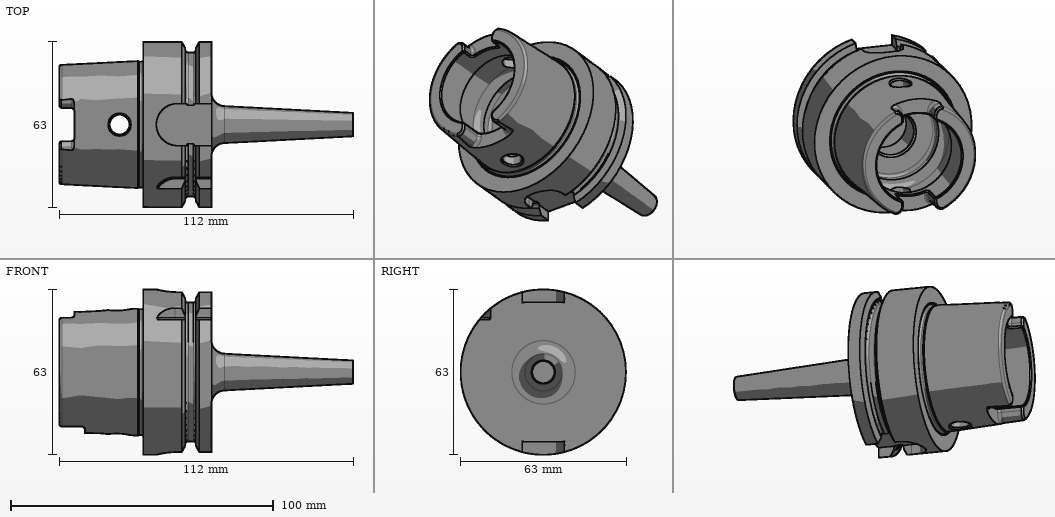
import cadquery as cq
import math


SHANK_LENGTH = 32.0
FLANGE_WIDTH = 26.0
TIP_X = 80.0
SHANK_END_X = -SHANK_LENGTH

GAUGE_RADIUS = 24.0
GAUGE_X = -6.3
TAPER_SLOPE = 1 / 20
SHANK_END_ROUND = 1.0

RELIEF_START_X = -2.1
RELIEF_FLOOR_START_X = -1.5
RELIEF_FLOOR_RADIUS = 24.0
RELIEF_ROUND = 0.8
RELIEF_FACE_DEPTH = 0.2
RELIEF_OUTER_RADIUS = 25.4

BORE_RADIUS = 17.0
BORE_LIP_LENGTH = 12.7
MOUTH_CHAMFER = 0.5
UNDERCUT_RADIUS = 20.0
CLAMP_BEVEL_ANGLE = 60.0
UNDERCUT_ROUND_START = 25.2
BORE_DEPTH = 32.0
FLOOR_ROUND = 1.2
TUBE_BORE_RADIUS = 8.5
TUBE_BORE_DEPTH = 10.0
TUBE_BORE_CHAMFER = 0.75

SLOT_HALF_WIDTH = 6.27
SLOT_TOP_DEPTH = 5.8
SLOT_BOTTOM_DEPTH = 9.8
SLOT_FLOOR_ROUND = 1.2
SLOT_LEDGE_HEIGHT = 20.75
SLOT_SHOULDER_ROUND = 3.1
SLOT_MOUTH_CHAMFER = 0.75

CROSS_HOLE_RADIUS = 3.75
CROSS_HOLE_FROM_END = 23.0
CROSS_HOLE_CHAMFER = 0.6

FLANGE_RADIUS = 31.5
GROOVE_X = 18.0
GROOVE_FLOOR_RADIUS = 27.5
GROOVE_FLOOR_HALF_WIDTH = 1.95
GROOVE_RIM_HALF_WIDTH = 3.35
GROOVE_FLANK_ANGLE = 60.0
GROOVE_FLOOR_ROUND = 1.0

KEYWAY_START_X = 5.0
KEYWAY_HALF_WIDTH = 8.0
KEYWAY_FLOOR_HEIGHT = 26.5
NOTCH_START_X = 4.0
NOTCH_OFFSET = 20.0
NOTCH_END_ROUND = 8.0
NOTCH_CORNER_CHAMFER = 0.6

TIP_RADIUS = 4.5
TIP_CHAMFER = 0.3
NOSE_HALF_ANGLE = math.radians(3.0)
NOSE_ROOT_ROUND = 5.0

CLEAR = 10.0
TOLERANCE = 0.01
RIM_REACH = 1.0


def shank_radius(x):
    return GAUGE_RADIUS + (x - GAUGE_X) * TAPER_SLOPE


def nose_radius(x):
    return TIP_RADIUS + (TIP_X - x) * math.tan(NOSE_HALF_ANGLE)


def revolve_about_axis(profile):
    """Close a half profile and turn it into a solid of revolution about X."""
    return profile.close().revolve(360, (0, 0, 0), (1, 0, 0))


def make_shank_and_flange():
    """Tapered shank and plain flange, with the relief groove sunk slightly into the flange face."""
    relief_arc_x = RELIEF_FACE_DEPTH - RELIEF_ROUND
    relief_arc_radius = RELIEF_FLOOR_RADIUS + RELIEF_ROUND
    diagonal = RELIEF_ROUND * math.sqrt(0.5)
    profile = (
        cq.Workplane("XY")
        .moveTo(SHANK_END_X, 0)
        .lineTo(SHANK_END_X, shank_radius(SHANK_END_X))
        .lineTo(RELIEF_START_X, shank_radius(RELIEF_START_X))
        .lineTo(RELIEF_FLOOR_START_X, RELIEF_FLOOR_RADIUS)
        .lineTo(relief_arc_x, RELIEF_FLOOR_RADIUS)
        .threePointArc(
            (relief_arc_x + diagonal, relief_arc_radius - diagonal),
            (RELIEF_FACE_DEPTH, relief_arc_radius),
        )
        .lineTo(0, RELIEF_OUTER_RADIUS)
        .lineTo(0, FLANGE_RADIUS)
        .lineTo(FLANGE_WIDTH, FLANGE_RADIUS)
        .lineTo(FLANGE_WIDTH, 0)
    )
    shank = revolve_about_axis(profile)
    return shank.faces("<X").edges().fillet(SHANK_END_ROUND)


def make_nose():
    """Tapered nose, blended into the flange by a fillet tangent to both."""
    center_x = FLANGE_WIDTH + NOSE_ROOT_ROUND
    blend_end_x = center_x - NOSE_ROOT_ROUND * math.sin(NOSE_HALF_ANGLE)
    blend_end_radius = nose_radius(blend_end_x)
    center_radius = blend_end_radius + NOSE_ROOT_ROUND * math.cos(NOSE_HALF_ANGLE)
    diagonal = NOSE_ROOT_ROUND * math.sqrt(0.5)
    profile = (
        cq.Workplane("XY")
        .moveTo(FLANGE_WIDTH, 0)
        .lineTo(FLANGE_WIDTH, center_radius)
        .threePointArc(
            (center_x - diagonal, center_radius - diagonal),
            (blend_end_x, blend_end_radius),
        )
        .lineTo(TIP_X, TIP_RADIUS)
        .lineTo(TIP_X, 0)
    )
    return revolve_about_axis(profile).faces(">X").chamfer(TIP_CHAMFER)


def make_gripper_groove():
    """Ring that cuts a V groove with a straight-sided, rounded trough at its bottom."""
    flank_width = GROOVE_RIM_HALF_WIDTH - GROOVE_FLOOR_HALF_WIDTH
    flank_rise = flank_width * math.tan(math.radians(GROOVE_FLANK_ANGLE))
    trough_rim_radius = FLANGE_RADIUS - flank_rise
    round_radius = GROOVE_FLOOR_RADIUS + GROOVE_FLOOR_ROUND
    floor_half_flat = GROOVE_FLOOR_HALF_WIDTH - GROOVE_FLOOR_ROUND
    profile = (
        cq.Workplane("XY")
        .moveTo(GROOVE_X - GROOVE_RIM_HALF_WIDTH, FLANGE_RADIUS)
        .lineTo(GROOVE_X - GROOVE_FLOOR_HALF_WIDTH, trough_rim_radius)
        .lineTo(GROOVE_X - GROOVE_FLOOR_HALF_WIDTH, round_radius)
        .radiusArc((GROOVE_X - floor_half_flat, GROOVE_FLOOR_RADIUS), -GROOVE_FLOOR_ROUND)
        .lineTo(GROOVE_X + floor_half_flat, GROOVE_FLOOR_RADIUS)
        .radiusArc((GROOVE_X + GROOVE_FLOOR_HALF_WIDTH, round_radius), -GROOVE_FLOOR_ROUND)
        .lineTo(GROOVE_X + GROOVE_FLOOR_HALF_WIDTH, trough_rim_radius)
        .lineTo(GROOVE_X + GROOVE_RIM_HALF_WIDTH, FLANGE_RADIUS)
        .lineTo(GROOVE_X + GROOVE_RIM_HALF_WIDTH, FLANGE_RADIUS + CLEAR)
        .lineTo(GROOVE_X - GROOVE_RIM_HALF_WIDTH, FLANGE_RADIUS + CLEAR)
    )
    return revolve_about_axis(profile)


def make_bore():
    """Hollow of the shank: lip, clamping bevel, undercut, rounded floor and coolant tube bore."""
    lip_end_x = SHANK_END_X + BORE_LIP_LENGTH
    bevel_length = (UNDERCUT_RADIUS - BORE_RADIUS) / math.tan(math.radians(CLAMP_BEVEL_ANGLE))
    round_start_x = SHANK_END_X + UNDERCUT_ROUND_START
    undercut_round = UNDERCUT_RADIUS - BORE_RADIUS
    floor_x = SHANK_END_X + BORE_DEPTH
    tube_mouth_radius = TUBE_BORE_RADIUS + TUBE_BORE_CHAMFER
    profile = (
        cq.Workplane("XY")
        .moveTo(SHANK_END_X, 0)
        .lineTo(SHANK_END_X, BORE_RADIUS)
        .lineTo(lip_end_x, BORE_RADIUS)
        .lineTo(lip_end_x + bevel_length, UNDERCUT_RADIUS)
        .lineTo(round_start_x, UNDERCUT_RADIUS)
        .radiusArc((round_start_x + undercut_round, BORE_RADIUS), undercut_round)
        .lineTo(floor_x - FLOOR_ROUND, BORE_RADIUS)
        .radiusArc((floor_x, BORE_RADIUS - FLOOR_ROUND), FLOOR_ROUND)
        .lineTo(floor_x, tube_mouth_radius)
        .lineTo(floor_x + TUBE_BORE_CHAMFER, TUBE_BORE_RADIUS)
        .lineTo(floor_x + TUBE_BORE_DEPTH, TUBE_BORE_RADIUS)
        .lineTo(floor_x + TUBE_BORE_DEPTH, 0)
    )
    return revolve_about_axis(profile)


def slot_outline(growth):
    """Outline of the +Z drive slot in the end plane of the shank, grown outward all round its walls."""
    half_width = SLOT_HALF_WIDTH + growth
    ledge_z = SLOT_LEDGE_HEIGHT - growth
    round_radius = SLOT_SHOULDER_ROUND - growth
    ledge_y = half_width + round_radius
    side_y = ledge_y + CLEAR
    top_z = SLOT_LEDGE_HEIGHT + CLEAR
    return (
        cq.Workplane("YZ", origin=(SHANK_END_X, 0, 0))
        .moveTo(-half_width, 0)
        .lineTo(half_width, 0)
        .lineTo(half_width, ledge_z - round_radius)
        .radiusArc((ledge_y, ledge_z), round_radius)
        .lineTo(side_y, ledge_z)
        .lineTo(side_y, top_z)
        .lineTo(-side_y, top_z)
        .lineTo(-side_y, ledge_z)
        .lineTo(-ledge_y, ledge_z)
        .radiusArc((-half_width, ledge_z - round_radius), round_radius)
        .close()
    )


def make_drive_slot(depth):
    """Cutter for the +Z slot: walls flaring over rounded shoulders, rounded floor, bevelled mouth."""
    floor_x = SHANK_END_X + depth
    wall_zone = cq.selectors.BoxSelector(
        (floor_x - TOLERANCE, -GAUGE_RADIUS, TOLERANCE),
        (floor_x + TOLERANCE, GAUGE_RADIUS, SLOT_LEDGE_HEIGHT + TOLERANCE),
    )
    slot = slot_outline(0).extrude(depth).edges(wall_zone).fillet(SLOT_FLOOR_ROUND)
    bevel = slot_outline(SLOT_MOUTH_CHAMFER).extrude(SLOT_MOUTH_CHAMFER, taper=45)
    return slot.union(bevel)


def make_keyway():
    """Cutter for the +Z keyway, round at its inner end and open to the front of the flange."""
    end_center_x = KEYWAY_START_X + KEYWAY_HALF_WIDTH
    return (
        cq.Workplane("XY", origin=(0, 0, KEYWAY_FLOOR_HEIGHT))
        .moveTo(end_center_x, -KEYWAY_HALF_WIDTH)
        .lineTo(FLANGE_WIDTH, -KEYWAY_HALF_WIDTH)
        .lineTo(FLANGE_WIDTH, KEYWAY_HALF_WIDTH)
        .lineTo(end_center_x, KEYWAY_HALF_WIDTH)
        .threePointArc((KEYWAY_START_X, 0), (end_center_x, -KEYWAY_HALF_WIDTH))
        .close()
        .extrude(CLEAR)
    )


def make_orientation_notch():
    """Corner cutter for the rim between -Y and +Z, with a rounded inner end."""
    block = cq.Workplane("XY").box(
        FLANGE_WIDTH - NOTCH_START_X, FLANGE_RADIUS, FLANGE_RADIUS, centered=False
    )
    block = block.translate((NOTCH_START_X, -NOTCH_OFFSET - FLANGE_RADIUS, NOTCH_OFFSET))
    block = block.edges("|Z and <X and >Y").fillet(NOTCH_END_ROUND)
    return block.edges("|X and <Z and >Y").chamfer(NOTCH_CORNER_CHAMFER)


def turned_over(shape):
    """The same shape on the opposite side of the axis."""
    return shape.rotate((0, 0, 0), (1, 0, 0), 180)


def cut_cross_hole(body):
    """Drill across the shank along Z and bevel both outer rims."""
    hole_x = SHANK_END_X + CROSS_HOLE_FROM_END
    hole = cq.Workplane("XY", origin=(hole_x, 0, 0)).circle(CROSS_HOLE_RADIUS)
    hole = hole.extrude(FLANGE_RADIUS, both=True)
    body = body.cut(hole)
    for side in (-1, 1):
        rim_z = side * shank_radius(hole_x)
        rim_zone = cq.selectors.BoxSelector(
            (hole_x - RIM_REACH, -RIM_REACH, rim_z - RIM_REACH),
            (hole_x + RIM_REACH, RIM_REACH, rim_z + RIM_REACH),
        )
        body = body.edges(rim_zone).chamfer(CROSS_HOLE_CHAMFER)
    return body


def lies_on_bore_rim(edge):
    """True for an edge on the lip of the bore, other than its inner end and its seam."""
    ends = (edge.startPoint(), edge.positionAt(0.5), edge.endPoint())
    on_bore = all(abs(math.hypot(p.y, p.z) - BORE_RADIUS) < TOLERANCE for p in ends)
    before_lip_end = edge.BoundingBox().xmax < SHANK_END_X + BORE_LIP_LENGTH - TOLERANCE
    return on_bore and before_lip_end


def chamfer_mouth(body):
    """Bevel the rim of the bore, along the end face and across the drive slots."""
    return body.edges().filter(lies_on_bore_rim).chamfer(MOUTH_CHAMFER)


body = make_shank_and_flange().cut(make_bore())
body = cut_cross_hole(body)
body = body.cut(make_gripper_groove())
body = body.cut(make_drive_slot(SLOT_TOP_DEPTH))
body = body.cut(turned_over(make_drive_slot(SLOT_BOTTOM_DEPTH)))
body = chamfer_mouth(body)
body = body.cut(make_keyway())
body = body.cut(turned_over(make_keyway()))
body = body.cut(make_orientation_notch())
result = body.union(make_nose())